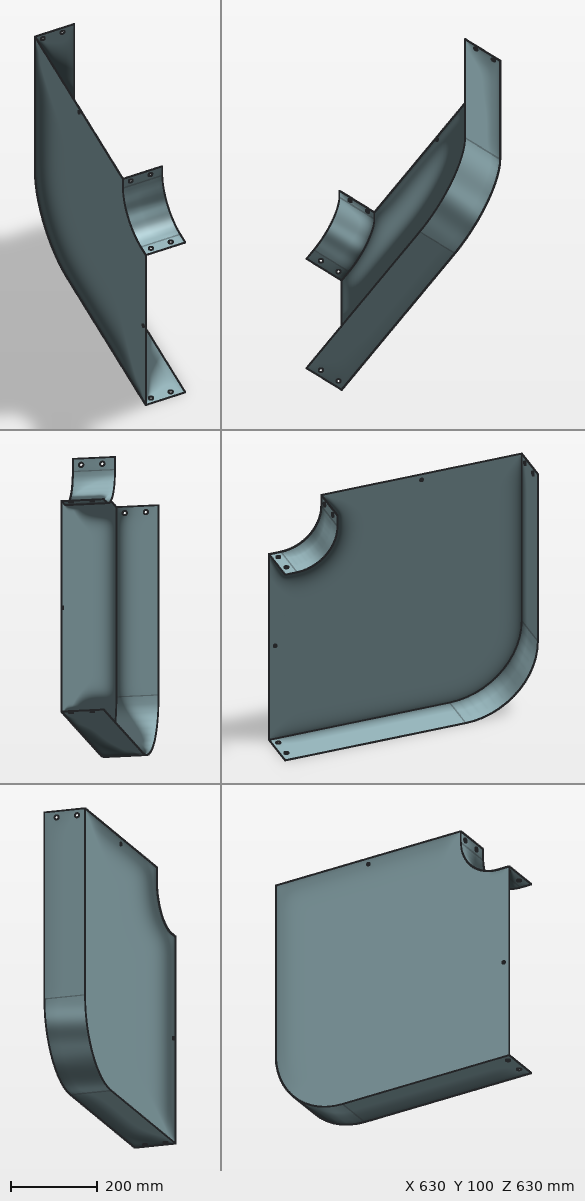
import cadquery as cq

side = 630.0
depth = 100.0
sheet = 1.0

outer_radius = 180.0
channel_width = 500.0
inner_radius = 100.0

plate_hole_diameter = 7.0
wall_hole_diameter = 10.0
end_distance = 15.0
hole_spacing = 50.0
first_hole_depth = 20.0

cutter_length = 3 * sheet


def bend_prism(start, length, inset):
    """Bend outline extruded from y = start, its walls moved inward by inset."""
    outer = inset
    inner = channel_width - inset
    inner_arc_end = channel_width + inner_radius
    profile = (
        cq.Workplane("XZ", origin=(0, start, 0))
        .moveTo(outer, side)
        .lineTo(inner, side)
        .lineTo(inner, inner_arc_end)
        .radiusArc((inner_arc_end, inner), -(inner_radius + inset))
        .lineTo(side, inner)
        .lineTo(side, outer)
        .lineTo(outer_radius, outer)
        .radiusArc((outer, outer_radius), outer_radius - inset)
        .close()
    )
    return profile.extrude(-length)


def hole_cutter(diameter, face_point, direction):
    """Cylinder through one sheet, which lies on the direction side of face_point."""
    axis = cq.Vector(*direction)
    start = cq.Vector(*face_point) - axis * sheet
    return cq.Solid.makeCylinder(diameter / 2, cutter_length, start, axis)


result = bend_prism(0, depth, 0).cut(bend_prism(sheet, depth, sheet))

end_line = side - end_distance
for x, z in [(channel_width / 2, end_line), (end_line, channel_width / 2)]:
    result = result.cut(hole_cutter(plate_hole_diameter, (x, 0, z), (0, 1, 0)))

for y in (first_hole_depth, first_hole_depth + hole_spacing):
    for wall in (0, channel_width - sheet):
        result = result.cut(hole_cutter(wall_hole_diameter, (wall, y, end_line), (1, 0, 0)))
        result = result.cut(hole_cutter(wall_hole_diameter, (end_line, y, wall), (0, 0, 1)))